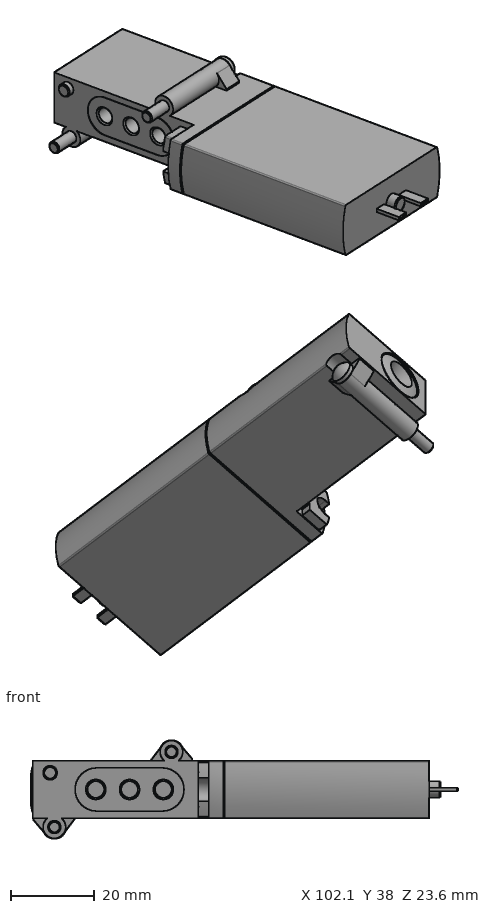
import cadquery as cq
import math

total_length = 102.1
body_width = 38.0
body_height = 13.8
end_bulge = 1.0
edge_radius = 0.4
mid_y = body_width / 2

valve_start_x = 0.4
block_start_x = 42.5
joint_x = 46.1
body_end_x = 95.2
valve_front_y = 10.0
joint_width = 0.3
joint_depth = 0.2

plug_bore_diameter = 13.0
plug_gap_depth = 0.3
plug_diameter = 12.5
plug_mouth_diameter = 7.4
plug_bottom_diameter = 3.0
plug_socket_depth = 3.5
plug_dome_rise = 0.13

port_x = 23.6
port_pitch = 8.1
port_diameter = 4.0
port_chamfer = 0.4
port_depth = 6.1
seal_length = 26.0
seal_width = 10.3
seal_depth = 0.1

locator_x = 4.6
locator_z = 4.0
locator_diameter = 3.4
locator_length = 1.7
pin_chamfer = 0.3

upper_screw_x = 33.6
lower_screw_x = 5.6
sleeve_diameter = 5.4
head_diameter = 5.6
screw_z = 9.0
sleeve_back_y = 33.0
shank_diameter = 3.1
shank_tip_y = 3.1
head_rim = 1.1
head_height = 2.6
ear_half_width = 5.0
ear_lip = 0.4
ear_length = 5.0
head_clearance_diameter = 6.3

plate_start_x = 40.0
plate_front_y = 1.0
plate_height = 13.1
plate_notch_y = 8.1
plate_notch_height = 2.5
slot_diameter = 5.5
slot_centre_y = 2.7

blade_width = 2.9
blade_thickness = 0.9
blade_pitch = 8.6
blade_chamfer = 0.3
button_diameter = 4.0
button_length = 2.8


def bulged_bar(start_x, end_x, front_y, height, radius):
    """Bar along X whose front and back sides are shallow arcs with rounded edges."""
    half = height / 2
    bar = (
        cq.Workplane("YZ", origin=(start_x, 0, 0))
        .moveTo(front_y + end_bulge, -half)
        .lineTo(body_width - end_bulge, -half)
        .threePointArc((body_width, 0), (body_width - end_bulge, half))
        .lineTo(front_y + end_bulge, half)
        .threePointArc((front_y, 0), (front_y + end_bulge, -half))
        .close()
        .extrude(end_x - start_x)
    )
    return bar.edges("|X").fillet(radius)


def box_between(x0, x1, y0, y1, z0, z1):
    return cq.Workplane("XY").box(x1 - x0, y1 - y0, z1 - z0, centered=False).translate((x0, y0, z0))


def rod_along_y(x, z, start_y, end_y, diameter):
    """Cylinder running in +Y from start_y to end_y."""
    plane = cq.Workplane("XZ", origin=(x, end_y, z))
    return plane.circle(diameter / 2).extrude(end_y - start_y)


def make_body():
    body = bulged_bar(valve_start_x, body_end_x, 0, body_height, edge_radius)
    front_gap = box_between(0, block_start_x, 0, valve_front_y, -body_height, body_height)
    body = body.cut(front_gap)
    groove_start = joint_x - joint_width / 2
    groove_end = groove_start + joint_width
    ring = box_between(groove_start, groove_end, 0, body_width, -body_height, body_height)
    core_height = body_height - 2 * joint_depth
    core = bulged_bar(groove_start, groove_end, joint_depth, core_height, edge_radius)
    core = core.intersect(core.translate((0, -joint_depth, 0)))
    return body.cut(ring.cut(core))


def make_plate():
    plate = bulged_bar(plate_start_x, block_start_x, plate_front_y, plate_height, edge_radius)
    keep = box_between(plate_start_x, block_start_x, 0, valve_front_y, -body_height, body_height)
    plate = plate.intersect(keep)
    half = plate_height / 2
    notch = box_between(
        plate_start_x, block_start_x, plate_notch_y, valve_front_y, half - plate_notch_height, half
    )
    plate = plate.cut(notch).cut(notch.mirror("XY"))
    slot_end = cq.Workplane("YZ", origin=(plate_start_x, slot_centre_y, 0)).circle(slot_diameter / 2)
    slot = slot_end.extrude(block_start_x - plate_start_x)
    slot_mouth = box_between(
        plate_start_x, block_start_x, 0, slot_centre_y, -slot_diameter / 2, slot_diameter / 2
    )
    return plate.cut(slot).cut(slot_mouth)


def make_plug():
    """Gently domed disc, revolved from a half section about the X direction."""
    rim_radius = plug_diameter / 2
    mouth_radius = plug_mouth_diameter / 2
    rim_x = valve_start_x + plug_gap_depth
    dome_mid = (rim_x / 2 - plug_dome_rise, (rim_radius + mouth_radius) / 2)
    section = (
        cq.Workplane("XY", origin=(0, mid_y, 0))
        .moveTo(rim_x, 0)
        .lineTo(rim_x, rim_radius)
        .threePointArc(dome_mid, (0, mouth_radius))
        .lineTo(0, 0)
        .close()
    )
    return section.revolve(360, (0, 0, 0), (1, 0, 0))


def make_plug_bore():
    """Shallow round recess that the plug sits in."""
    face = cq.Workplane("YZ", origin=(valve_start_x, mid_y, 0))
    return face.circle(plug_bore_diameter / 2).extrude(plug_gap_depth)


def make_plug_socket():
    section = (
        cq.Workplane("XY", origin=(0, mid_y, 0))
        .polyline(
            [
                (0, 0),
                (0, plug_mouth_diameter / 2),
                (plug_socket_depth, plug_bottom_diameter / 2),
                (plug_socket_depth, 0),
            ]
        )
        .close()
    )
    return section.revolve(360, (0, 0, 0), (1, 0, 0))


def make_port_mouth(x, floor_y):
    """Countersink cone that widens the port towards the front."""
    outer_radius = port_diameter / 2 + port_chamfer
    cone = cq.Solid.makeCone(
        outer_radius, port_diameter / 2, port_chamfer, cq.Vector(x, floor_y, 0), cq.Vector(0, 1, 0)
    )
    return cq.Workplane(cone)


def cut_ports(body):
    face = cq.Workplane("XZ", origin=(port_x, valve_front_y, 0))
    seal = face.slot2D(seal_length, seal_width).extrude(-seal_depth)
    body = body.cut(seal)
    floor_y = valve_front_y + seal_depth
    for step in (-1, 0, 1):
        x = port_x + step * port_pitch
        body = body.cut(rod_along_y(x, 0, floor_y, floor_y + port_depth, port_diameter))
        body = body.cut(make_port_mouth(x, floor_y))
    return body


def make_locator():
    pin = rod_along_y(
        locator_x, locator_z, valve_front_y - locator_length, valve_front_y, locator_diameter
    )
    return pin.faces("<Y").chamfer(pin_chamfer)


def ear_tangent_angle(drop):
    """Slope of the line from an ear's foot, drop below the screw axis, tangent to the sleeve."""
    reach = math.hypot(drop, ear_half_width)
    return math.atan2(drop, ear_half_width) + math.asin(sleeve_diameter / 2 / reach)


def make_ears(x):
    """Pair of ears sloping from the sleeve down to the top face of the valve."""
    radius = sleeve_diameter / 2
    drop = screw_z - body_height / 2
    plain_slope = ear_tangent_angle(drop)
    lipped_slope = ear_tangent_angle(drop - ear_lip)
    return (
        cq.Workplane("XZ", origin=(x, sleeve_back_y, screw_z))
        .moveTo(-ear_half_width, -drop)
        .lineTo(ear_half_width, -drop)
        .lineTo(ear_half_width, ear_lip - drop)
        .lineTo(radius * math.sin(lipped_slope), radius * math.cos(lipped_slope))
        .lineTo(-radius * math.sin(plain_slope), radius * math.cos(plain_slope))
        .close()
        .extrude(ear_length)
    )


def make_screw(x):
    """Domed screw in its sleeve above the valve, with the ears that clamp it."""
    sleeve = rod_along_y(x, screw_z, valve_front_y, sleeve_back_y, sleeve_diameter)
    shank = rod_along_y(x, screw_z, shank_tip_y, valve_front_y, shank_diameter)
    shank = shank.faces("<Y").chamfer(pin_chamfer)

    head_radius = head_diameter / 2
    dome_rise = head_height - head_rim
    dome_radius = (head_radius**2 + dome_rise**2) / (2 * dome_rise)
    dome_mid_x = head_radius / 2
    dome_mid_drop = dome_radius - math.sqrt(dome_radius**2 - dome_mid_x**2)
    head = (
        cq.Workplane("XY", origin=(x, sleeve_back_y, screw_z))
        .lineTo(head_radius, 0)
        .lineTo(head_radius, head_rim)
        .threePointArc((dome_mid_x, head_height - dome_mid_drop), (0, head_height))
        .close()
        .revolve(360, (0, 0, 0), (0, 1, 0))
    )
    return sleeve.union(shank).union(head).union(make_ears(x))


def make_head_clearance(x):
    return rod_along_y(x, screw_z, sleeve_back_y, body_width, head_clearance_diameter)


def make_blade(y):
    blade = box_between(
        body_end_x,
        total_length,
        y - blade_width / 2,
        y + blade_width / 2,
        -blade_thickness / 2,
        blade_thickness / 2,
    )
    return blade.faces(">X").chamfer(blade_chamfer)


def make_button():
    button = cq.Workplane("YZ", origin=(body_end_x, mid_y, 0)).circle(button_diameter / 2)
    return button.extrude(button_length).faces(">X").chamfer(pin_chamfer)


body = make_body()
body = cut_ports(body)
upper_clearance = make_head_clearance(upper_screw_x)
lower_clearance = make_head_clearance(lower_screw_x).mirror("XY")
body = body.cut(upper_clearance).cut(lower_clearance)
body = body.union(make_screw(upper_screw_x))
lower_screw = make_screw(-lower_screw_x).rotate((0, 0, 0), (0, 1, 0), 180)
body = body.union(lower_screw)
body = body.union(make_plate())
body = body.union(make_locator())
body = body.cut(make_plug_bore()).union(make_plug()).cut(make_plug_socket())
for side in (-1, 1):
    body = body.union(make_blade(mid_y + side * blade_pitch / 2))
result = body.union(make_button())